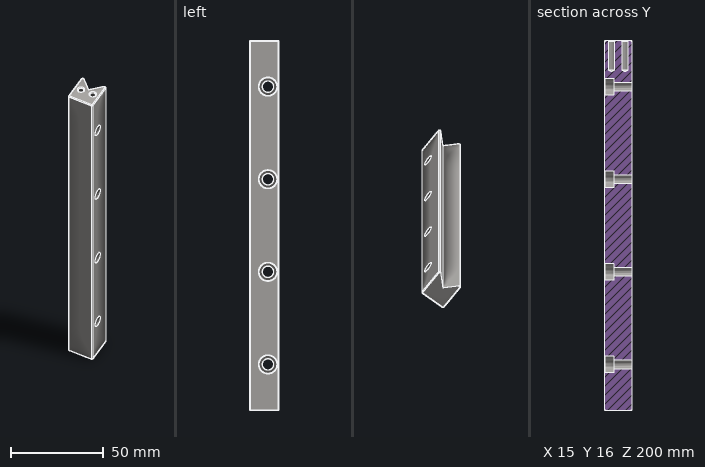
import cadquery as cq
import math

length = 200.0
width = 15.0
depth = 16.0

groove_depth = 6.5
groove_floor_width = 0.2

edge_chamfer = 0.5

cross_hole_count = 4
cross_hole_pitch = length / cross_hole_count
cross_hole_y = -2.0
cross_hole_diameter = 6.0
counterbore_diameter = 9.5
counterbore_chamfer = 0.35
counterbore_depth = 5.2

end_hole_x = 3.5
end_hole_y = -0.5
end_hole_diameter = 3.0
end_hole_depth = 16.0
drill_tip_angle = 118
end_hole_mouth_diameter = 4.0


def make_bar():
    """Rectangular bar centred on the origin with all its edges chamfered."""
    return cq.Workplane("XY").box(width, depth, length).edges().chamfer(edge_chamfer)


def make_groove():
    """Prism that cuts the V along the whole bar, leaving a narrow flat floor."""
    floor_half_width = groove_floor_width / 2
    mouth_half_width = groove_depth + floor_half_width
    return (
        cq.Workplane("XY", origin=(0, 0, -length / 2))
        .moveTo(-floor_half_width, depth / 2 - groove_depth)
        .lineTo(floor_half_width, depth / 2 - groove_depth)
        .lineTo(mouth_half_width, depth / 2)
        .lineTo(-mouth_half_width, depth / 2)
        .close()
        .extrude(length)
    )


def make_cross_hole(z):
    """Through hole along X with a chamfered counterbore entering from the -X face."""
    side = cq.Workplane("YZ", origin=(-width / 2, cross_hole_y, z))
    bore = side.circle(cross_hole_diameter / 2).extrude(width)
    counterbore = side.circle(counterbore_diameter / 2).extrude(counterbore_depth)
    mouth = (
        side.circle(counterbore_diameter / 2 + counterbore_chamfer)
        .workplane(offset=counterbore_chamfer)
        .circle(counterbore_diameter / 2)
        .loft()
    )
    return bore.union(counterbore).union(mouth)


def make_end_hole(x):
    """Blind hole running down from the top end, with a 45 degree mouth and a drill-point bottom."""
    top = length / 2
    radius = end_hole_diameter / 2
    mouth_radius = end_hole_mouth_diameter / 2
    return (
        cq.Workplane("XZ", origin=(x, end_hole_y, top))
        .lineTo(mouth_radius, 0)
        .lineTo(radius, radius - mouth_radius)
        .lineTo(radius, -end_hole_depth)
        .lineTo(0, -end_hole_depth - radius / math.tan(math.radians(drill_tip_angle / 2)))
        .close()
        .revolve(360, (0, 0), (0, 1))
    )


result = make_bar().cut(make_groove())

for index in range(cross_hole_count):
    hole_z = (index + 0.5) * cross_hole_pitch - length / 2
    result = result.cut(make_cross_hole(hole_z))

for hole_x in (-end_hole_x, end_hole_x):
    result = result.cut(make_end_hole(hole_x))